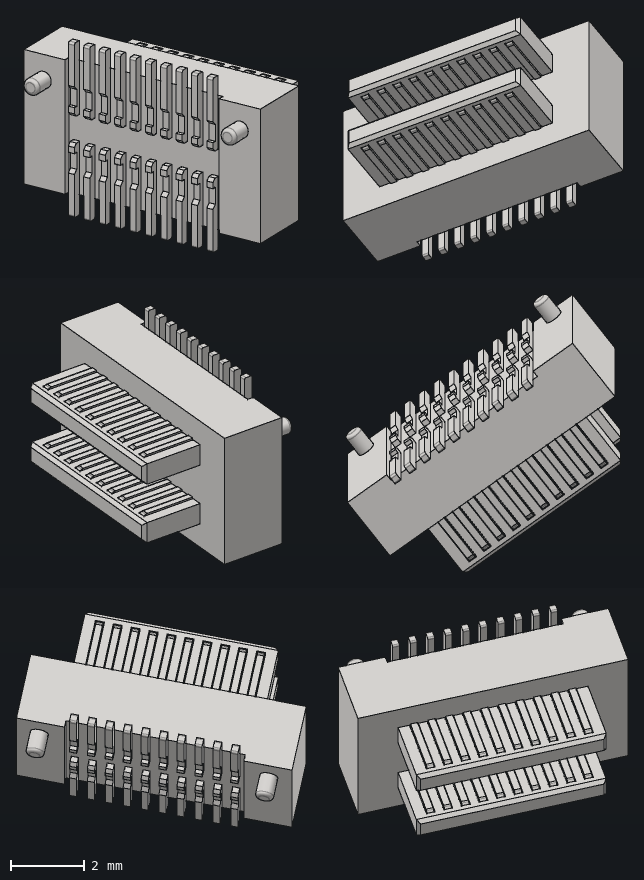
import cadquery as cq


body_length = 7.7
body_height = 4.005
body_depth = 1.94
recess_length = 5.005
recess_depth = 0.19

peg_diameter = 0.5
peg_length = 0.66
peg_round = 0.1
peg_x = 3.2
peg_z = 1.25

tongue_length = 5.405
tongue_thickness = 0.65
tongue_reach = 1.895
tongue_z = 0.93
tongue_tip_run = 0.115
tongue_tip_drop = 0.09

contact_count = 10
contact_pitch = 0.5
contact_width = 0.2

slot_width = 0.25
slot_depth = 0.1
slot_end_gap = 0.25
pad_rise = 0.04
pad_nose_length = 0.08
pad_bevel_length = 0.05
pad_bevel_drop = 0.015

tail_outer_z = 5.2 / 2
tail_inner_z = 0.4
tail_rise = 0.07
tail_front_round = 0.06
tail_back_round = 0.05
tail_inner_chamfer = 0.1
notch_inner_z = 0.685
notch_outer_z = 1.3
notch_depth = 0.115

tongue_tip_y = body_depth + tongue_reach
slot_end_y = tongue_tip_y - slot_end_gap
slot_floor = tongue_thickness / 2 - slot_depth
pad_top = tongue_thickness / 2 + pad_rise
contact_xs = [(i - (contact_count - 1) / 2) * contact_pitch for i in range(contact_count)]


def block(x_size, y_start, y_end, z_size):
    """Box centred on X and Z that runs from y_start to y_end."""
    return cq.Workplane("XY").box(x_size, y_end - y_start, z_size).translate((0, (y_start + y_end) / 2, 0))


def extrude_across(profile, width):
    """Extrude a closed YZ profile symmetrically along X."""
    return profile.close().extrude(width / 2, both=True)


def at_contacts(shape):
    """One copy of the shape at every contact position, as a single compound."""
    copies = [shape.val().translate(cq.Vector(x, 0, 0)) for x in contact_xs]
    return cq.Workplane(cq.Compound.makeCompound(copies))


def make_housing():
    housing = block(body_length, 0, body_depth, body_height)
    return housing.cut(block(recess_length, 0, recess_depth, body_height))


def make_peg():
    peg = cq.Workplane("XZ").circle(peg_diameter / 2).extrude(peg_length)
    return peg.faces("<Y").edges().fillet(peg_round)


def make_pad():
    """Contact pad with a bevelled top edge and a rounded nose that dips to the slot floor."""
    nose_y = slot_end_y - pad_nose_length
    bevel_z = pad_top - pad_bevel_drop
    profile = (
        cq.Workplane("YZ")
        .moveTo(body_depth, slot_floor)
        .lineTo(body_depth, pad_top)
        .lineTo(nose_y - pad_bevel_length, pad_top)
        .lineTo(nose_y, bevel_z)
        .tangentArcPoint((slot_end_y, slot_floor), relative=False)
    )
    return extrude_across(profile, contact_width)


def make_tongue():
    """Tongue centred on Z = 0 with contact pads on its upper and lower faces."""
    shoulder_y = tongue_tip_y - tongue_tip_run
    tongue = block(tongue_length, body_depth, shoulder_y, tongue_thickness)
    tip = (
        cq.Workplane("XZ", origin=(0, shoulder_y, 0))
        .rect(tongue_length, tongue_thickness)
        .workplane(offset=-tongue_tip_run)
        .rect(tongue_length - 2 * tongue_tip_drop, tongue_thickness - 2 * tongue_tip_drop)
        .loft(ruled=True)
    )
    tongue = tongue.union(tip)
    slot = block(slot_width, body_depth, slot_end_y, slot_depth)
    slot = slot.translate((0, 0, slot_floor + slot_depth / 2))
    slots = at_contacts(slot)
    pads = at_contacts(make_pad())
    tongue = tongue.cut(slots).cut(slots.mirror("XY"))
    return tongue.union(pads).union(pads.mirror("XY"))


def make_tail():
    """Upper solder tail: notched on its front face and rounded at its outer end."""
    front_y = -tail_rise
    notch_y = front_y + notch_depth
    profile = (
        cq.Workplane("YZ")
        .moveTo(recess_depth, tail_inner_z)
        .lineTo(front_y + tail_inner_chamfer, tail_inner_z)
        .lineTo(front_y, tail_inner_z + tail_inner_chamfer)
        .lineTo(front_y, notch_inner_z)
        .lineTo(notch_y, notch_inner_z)
        .lineTo(notch_y, notch_outer_z - notch_depth)
        .lineTo(front_y, notch_outer_z)
        .lineTo(front_y, tail_outer_z - tail_front_round)
        .tangentArcPoint((tail_front_round, tail_front_round))
        .lineTo(recess_depth - tail_back_round, tail_outer_z)
        .tangentArcPoint((tail_back_round, -tail_back_round))
    )
    return extrude_across(profile, contact_width)


peg = make_peg()
tongue = make_tongue()
tails = at_contacts(make_tail())

result = make_housing()
for side in (-1, 1):
    result = result.union(peg.translate((side * peg_x, 0, peg_z)))
    result = result.union(tongue.translate((0, 0, side * tongue_z)))
result = result.union(tails).union(tails.mirror("XY"))